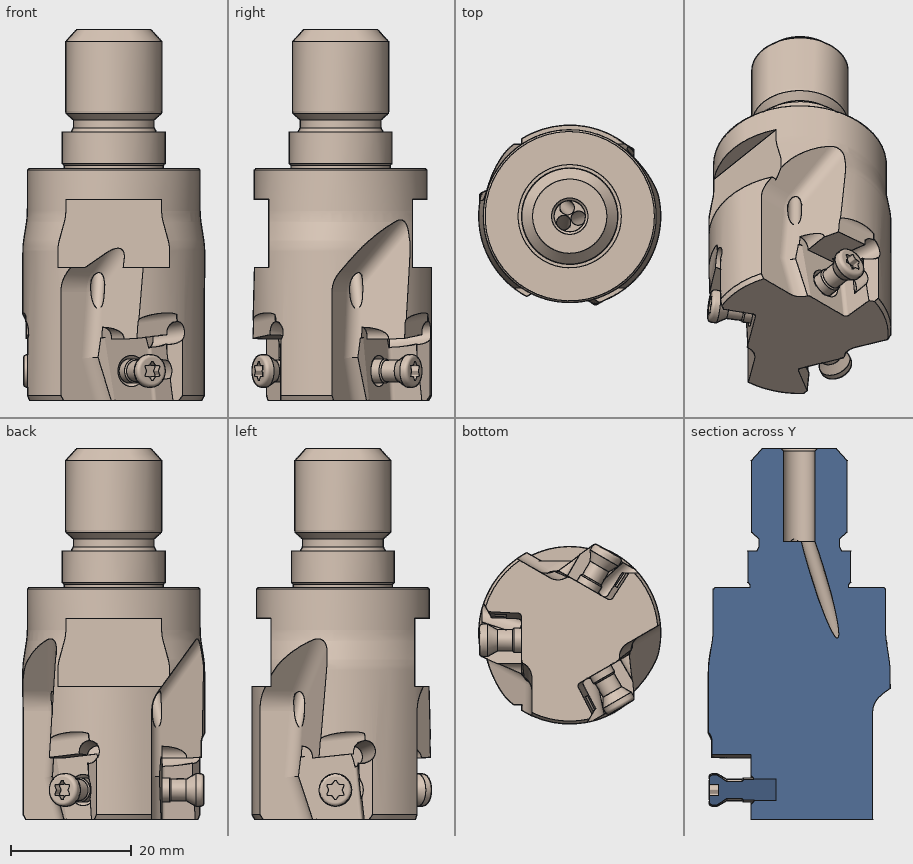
import cadquery as cq
import math


TEETH = 3
TOOTH_PITCH = 360.0 / TEETH
REACH = 24.55

TOTAL_HEIGHT = 61.4
HEAD_DIAMETER = 30.15
HEAD_RADIUS = HEAD_DIAMETER / 2
END_CHAMFER = 0.5
END_CHAMFER_HEIGHT = 0.85
HEAD_STRAIGHT_TOP = 24.8
FLARE_BOTTOM = 26.45
FLARE_TOP = 29.5
COLLAR_RADIUS = 14.3
COLLAR_BOTTOM = 31.3
COLLAR_TOP = 38.45
COLLAR_CHAMFER = 0.3
PILOT_RADIUS = 8.55
PILOT_FOOT_RADIUS = 8.2
PILOT_BOTTOM = 39.25
PILOT_TOP = 44.45
NECK_RADIUS = 6.7
NECK_FOOT = 0.35
NECK_BOTTOM = 45.1
NECK_TOP = 46.4
SHANK_RADIUS = 8.0
SHANK_BOTTOM = 47.9
SHANK_LIP = 0.05
SHANK_LIP_HEIGHT = 0.35
SHANK_CHAMFER = 1.85
SHANK_CHAMFER_HEIGHT = 2.0

BORE_RADIUS = 2.6
BORE_CHAMFER = 0.4
BORE_BOTTOM = 46.05
DUCT_RADIUS = 1.15
DUCT_START = (-0.4, 1.4, BORE_BOTTOM)
DUCT_EXIT = (-7.7, 7.7, 16.45)
DUCT_OVERRUN = 2.45

FLAT_DISTANCE = 11.9
FLAT_BOTTOM = 22.05
FLAT_TOP = 33.3

FLOOR_DEPTH = 6.25
RAMP_START = 19.7
RAMP_ANGLE = 36.0
RAMP_BLEND = 5.4
FLUTE_TOP = 36.85
FLUTE_BLEND = 2.6
KINK_HEIGHT = 7.1
KINK_CORNER_Y = 7.9
WALL_SLANT = 24.4
UPPER_LEAN = 4.3
LOWER_LEAN = 17.2

SEAT_DEPTH = 8.0
POCKET_TILT = -6.0
POCKET_WALL_Y = -2.7
POCKET_WALL_DRAFT = 3.0
POCKET_HEIGHT = 5.65
POCKET_CORNER = 0.6
LAND_DEPTH = 13.0
LAND_EDGE = (14.25, -4.9)
LAND_TOP = 10.15
RELIEF_RADIUS = 1.8
RELIEF_INNER = (-8.0, -1.55, 10.45)
RELIEF_OUTER = (-18.4, -4.9, 11.8)
SEAT_BEVEL_Y = 5.3
SEAT_BEVEL_WIDTH = 1.8
SEAT_BEVEL_DROP = 0.5
SEAT_BEVEL_LEAN = 10.5
CHIP_RELIEF_RADIUS = 1.7
CHIP_RELIEF_Y = 6.75
CHIP_RELIEF_Z = 10.45
NOTCH_DEPTH = 14.5
NOTCH_TOP = 9.7
NOTCH_RIGHT_Y = -4.55
NOTCH_BLEND = 1.6
NOTCH_OVERLAP = 0.6

SCREW_Y = 1.2
SCREW_Z = 4.9
SCREW_TIP_DEPTH = 14.9
SCREW_HEAD_RADIUS = 2.7
SCREW_RIM = 0.55
SCREW_HEAD_HEIGHT = 1.35
SCREW_NECK_RADIUS = 1.8
SCREW_NECK_START = 2.95
THREAD_RADIUS = 2.0
THREAD_START = 5.7
SCREW_LENGTH = 11.05
SOCKET_RADIUS = 1.7
SOCKET_ROOT_RADIUS = 1.1
SOCKET_LOBE_BLEND = 0.2
SOCKET_POINTS = 6
SOCKET_DEPTH = 1.55
SCREW_SINK_RADIUS = 2.6
WALL_SCALLOP_RADIUS = 2.95
WALL_SCALLOP_Y = -0.4
WALL_SCALLOP_DEPTH = 10.45


def rod(start, end, radius, overrun=0.0):
    """Cylinder from start to end, lengthened by overrun at both ends."""
    axis = cq.Vector(*end) - cq.Vector(*start)
    base = cq.Vector(*start) - axis.normalized() * overrun
    return cq.Workplane(obj=cq.Solid.makeCylinder(radius, axis.Length + 2 * overrun, base, axis))


def radial_rod(depth, y, z, radius):
    """Cylinder parallel to X from the given depth out past the head."""
    return rod((-depth, y, z), (-REACH, y, z), radius)


def around(tooth_shape, index):
    return tooth_shape.rotate((0, 0, 0), (0, 0, 1), index * TOOTH_PITCH)


def make_blank():
    cone_bottom = (HEAD_STRAIGHT_TOP + FLARE_BOTTOM) / 2
    cone_top = (FLARE_TOP + COLLAR_BOTTOM) / 2
    slope = (HEAD_RADIUS - COLLAR_RADIUS) / (cone_top - cone_bottom)
    flare_bottom_radius = HEAD_RADIUS - slope * (FLARE_BOTTOM - cone_bottom)
    flare_top_radius = COLLAR_RADIUS + slope * (cone_top - FLARE_TOP)
    pilot_undercut = PILOT_RADIUS - PILOT_FOOT_RADIUS
    profile = (
        cq.Workplane("XZ")
        .lineTo(HEAD_RADIUS - END_CHAMFER, 0)
        .lineTo(HEAD_RADIUS, END_CHAMFER_HEIGHT)
        .lineTo(HEAD_RADIUS, HEAD_STRAIGHT_TOP)
        .tangentArcPoint((flare_bottom_radius, FLARE_BOTTOM), relative=False)
        .lineTo(flare_top_radius, FLARE_TOP)
        .tangentArcPoint((COLLAR_RADIUS, COLLAR_BOTTOM), relative=False)
        .lineTo(COLLAR_RADIUS, COLLAR_TOP - COLLAR_CHAMFER)
        .lineTo(COLLAR_RADIUS - COLLAR_CHAMFER, COLLAR_TOP)
        .lineTo(PILOT_FOOT_RADIUS, COLLAR_TOP)
        .lineTo(PILOT_FOOT_RADIUS, PILOT_BOTTOM - pilot_undercut)
        .lineTo(PILOT_RADIUS, PILOT_BOTTOM)
        .lineTo(PILOT_RADIUS, PILOT_TOP)
        .lineTo(NECK_RADIUS + NECK_FOOT, PILOT_TOP)
        .lineTo(NECK_RADIUS, NECK_BOTTOM)
        .lineTo(NECK_RADIUS, NECK_TOP)
        .lineTo(SHANK_RADIUS - SHANK_LIP, SHANK_BOTTOM - SHANK_LIP_HEIGHT)
        .lineTo(SHANK_RADIUS, SHANK_BOTTOM)
        .lineTo(SHANK_RADIUS, TOTAL_HEIGHT - SHANK_CHAMFER_HEIGHT)
        .lineTo(SHANK_RADIUS - SHANK_CHAMFER, TOTAL_HEIGHT)
        .lineTo(0, TOTAL_HEIGHT)
        .close()
    )
    return profile.revolve(360, (0, 0), (0, 1))


def cut_bore(body):
    profile = [
        (0, BORE_BOTTOM),
        (BORE_RADIUS, BORE_BOTTOM),
        (BORE_RADIUS, TOTAL_HEIGHT - BORE_CHAMFER),
        (BORE_RADIUS + BORE_CHAMFER, TOTAL_HEIGHT),
        (0, TOTAL_HEIGHT),
    ]
    return body.cut(cq.Workplane("XZ").polyline(profile).close().revolve(360, (0, 0), (0, 1)))


def cut_wrench_flats(body):
    height = FLAT_TOP - FLAT_BOTTOM
    for side in (-1, 1):
        flat = cq.Workplane("XY").box(2 * REACH, REACH, height).translate(
            (0, side * (FLAT_DISTANCE + REACH / 2), (FLAT_TOP + FLAT_BOTTOM) / 2)
        )
        body = body.cut(flat)
    return body


def leaning_wall(lean):
    """Space on the chip side of a slanted flute wall that leans through the kink point."""
    run = REACH * math.tan(math.radians(WALL_SLANT))
    outline = [
        (-FLOOR_DEPTH + REACH, KINK_CORNER_Y + run),
        (-FLOOR_DEPTH - REACH, KINK_CORNER_Y - run),
        (-FLOOR_DEPTH - REACH, 2 * REACH),
        (-FLOOR_DEPTH + REACH, 2 * REACH),
    ]
    space = cq.Workplane("XY").polyline(outline).close().extrude(2 * REACH, both=True)
    space = space.translate((0, 0, KINK_HEIGHT))
    return space.rotate((0, KINK_CORNER_Y, KINK_HEIGHT), (1, KINK_CORNER_Y, KINK_HEIGHT), lean)


def edge_near(cutter, point):
    """The edge of the cutter that passes closest to the given point."""
    marker = cq.Vertex.makeVertex(*point)
    closest = min(cutter.edges().vals(), key=lambda edge: edge.distance(marker))
    return cutter.newObject([closest])


def make_upper_flute():
    ramp_run = math.tan(math.radians(RAMP_ANGLE)) * (FLUTE_TOP - RAMP_START)
    side = [
        (-FLOOR_DEPTH, -REACH),
        (-FLOOR_DEPTH, RAMP_START),
        (-FLOOR_DEPTH - ramp_run, FLUTE_TOP),
        (-REACH, FLUTE_TOP),
        (-REACH, -REACH),
    ]
    prism = cq.Workplane("XZ").polyline(side).close().extrude(REACH, both=True)
    flute = prism.intersect(leaning_wall(UPPER_LEAN))
    bend = edge_near(flute, (-FLOOR_DEPTH, REACH / 2, RAMP_START))
    flute = bend.fillet(RAMP_BLEND)
    root = edge_near(flute, (-FLOOR_DEPTH, KINK_CORNER_Y, KINK_HEIGHT))
    return root.fillet(FLUTE_BLEND)


def make_lower_flute():
    block = cq.Workplane("XY").box(REACH, 2 * REACH, REACH).translate(
        (-FLOOR_DEPTH - REACH / 2, 0, KINK_HEIGHT - REACH / 2)
    )
    flute = block.intersect(leaning_wall(-LOWER_LEAN))
    middle_corner_y = KINK_CORNER_Y - math.tan(math.radians(LOWER_LEAN)) * KINK_HEIGHT / 2
    root = edge_near(flute, (-FLOOR_DEPTH, middle_corner_y, KINK_HEIGHT / 2))
    flute = root.fillet(FLUTE_BLEND)
    beyond_seat = cq.Workplane("XY").box(REACH, 2 * REACH, 2 * REACH)
    return flute.cut(beyond_seat.translate((-SEAT_DEPTH - REACH / 2, 0, 0)))


def tilt_pocket(shape):
    return shape.rotate((0, SCREW_Y, SCREW_Z), (1, SCREW_Y, SCREW_Z), POCKET_TILT)


def make_pocket():
    draft = (REACH - SEAT_DEPTH) * math.tan(math.radians(POCKET_WALL_DRAFT))
    outline = [
        (-SEAT_DEPTH, REACH / 2),
        (-SEAT_DEPTH, POCKET_WALL_Y),
        (-REACH, POCKET_WALL_Y - draft),
        (-REACH, REACH / 2),
    ]
    pocket = cq.Workplane("XY").workplane(offset=-REACH / 2).polyline(outline).close()
    pocket = pocket.extrude(REACH / 2 + SCREW_Z + POCKET_HEIGHT)
    pocket = edge_near(pocket, (-SEAT_DEPTH, POCKET_WALL_Y, 0)).fillet(POCKET_CORNER)
    return tilt_pocket(pocket)


def make_land_bevel():
    edge_depth, edge_y = LAND_EDGE
    slope = (edge_y - POCKET_WALL_Y) / (edge_depth - LAND_DEPTH)
    outer_y = POCKET_WALL_Y + slope * (HEAD_RADIUS - LAND_DEPTH)
    outline = [
        (-LAND_DEPTH, POCKET_WALL_Y),
        (-HEAD_RADIUS, outer_y),
        (-REACH, outer_y),
        (-REACH, 0),
        (-LAND_DEPTH, 0),
    ]
    return cq.Workplane("XY").polyline(outline).close().extrude(LAND_TOP)


def make_seat_bevel():
    outer_y = SEAT_BEVEL_Y + SEAT_BEVEL_WIDTH
    outline = [
        (-SEAT_DEPTH, SEAT_BEVEL_Y),
        (-SEAT_DEPTH + SEAT_BEVEL_DROP, outer_y),
        (-REACH, outer_y),
        (-REACH, SEAT_BEVEL_Y),
    ]
    bevel = cq.Workplane("XY").polyline(outline).close().extrude(POCKET_HEIGHT + SCREW_Z)
    return bevel.rotate((0, SEAT_BEVEL_Y, SCREW_Z), (1, SEAT_BEVEL_Y, SCREW_Z), -SEAT_BEVEL_LEAN)


def make_notch():
    height = NOTCH_TOP - POCKET_HEIGHT + NOTCH_OVERLAP
    notch = cq.Workplane("XY").box(REACH, REACH, height).translate(
        (-NOTCH_DEPTH - REACH / 2, NOTCH_RIGHT_Y + REACH / 2, SCREW_Z + NOTCH_TOP - height / 2)
    )
    notch = edge_near(notch, (-NOTCH_DEPTH, 0, SCREW_Z + NOTCH_TOP)).fillet(NOTCH_BLEND)
    return tilt_pocket(notch)


def place_screw(shape):
    """Bring a shape made along +Z from its head face onto the screw axis."""
    return shape.rotate((0, 0, 0), (0, 1, 0), 90).translate((-SCREW_TIP_DEPTH, SCREW_Y, SCREW_Z))


def make_screw_hole():
    seat = SCREW_TIP_DEPTH - SEAT_DEPTH
    profile = [
        (0, seat),
        (SCREW_SINK_RADIUS, seat),
        (THREAD_RADIUS, seat + SCREW_SINK_RADIUS - THREAD_RADIUS),
        (THREAD_RADIUS, SCREW_LENGTH),
        (0, SCREW_LENGTH),
    ]
    return place_screw(cq.Workplane("XZ").polyline(profile).close().revolve(360, (0, 0), (0, 1)))


def make_screw():
    profile = [
        (0, 0),
        (SCREW_HEAD_RADIUS, 0),
        (SCREW_HEAD_RADIUS, SCREW_HEAD_HEIGHT),
        (SCREW_NECK_RADIUS, SCREW_NECK_START),
        (SCREW_NECK_RADIUS, THREAD_START - (THREAD_RADIUS - SCREW_NECK_RADIUS)),
        (THREAD_RADIUS, THREAD_START),
        (THREAD_RADIUS, SCREW_LENGTH),
        (0, SCREW_LENGTH),
    ]
    screw = cq.Workplane("XZ").polyline(profile).close().revolve(360, (0, 0), (0, 1))
    screw = screw.faces("<Z").edges().fillet(SCREW_RIM)
    star = []
    for step in range(2 * SOCKET_POINTS):
        radius = SOCKET_ROOT_RADIUS if step % 2 else SOCKET_RADIUS
        angle = math.pi * step / SOCKET_POINTS
        star.append((radius * math.cos(angle), radius * math.sin(angle)))
    socket = cq.Workplane("XY").polyline(star).close().extrude(SOCKET_DEPTH)
    socket = socket.edges("|Z").fillet(SOCKET_LOBE_BLEND)
    return place_screw(screw.cut(socket))


def make_tooth_cutters():
    return [
        make_upper_flute(),
        make_lower_flute(),
        make_pocket(),
        make_land_bevel(),
        make_seat_bevel(),
        make_notch(),
        rod(RELIEF_INNER, RELIEF_OUTER, RELIEF_RADIUS),
        radial_rod(WALL_SCALLOP_DEPTH, WALL_SCALLOP_Y, SCREW_Z, WALL_SCALLOP_RADIUS),
        radial_rod(SEAT_DEPTH, CHIP_RELIEF_Y, CHIP_RELIEF_Z, CHIP_RELIEF_RADIUS),
        rod(DUCT_START, DUCT_EXIT, DUCT_RADIUS, DUCT_OVERRUN),
        make_screw_hole(),
    ]


def make_body():
    body = cut_wrench_flats(cut_bore(make_blank()))
    cutters = make_tooth_cutters()
    for index in range(TEETH):
        for cutter in cutters:
            body = body.cut(around(cutter, index))
    return body


body = make_body()
screw = make_screw()
screws = [around(screw, index) for index in range(TEETH)]

result = cq.Compound.makeCompound([body.solids().val(), *[one.solids().val() for one in screws]])